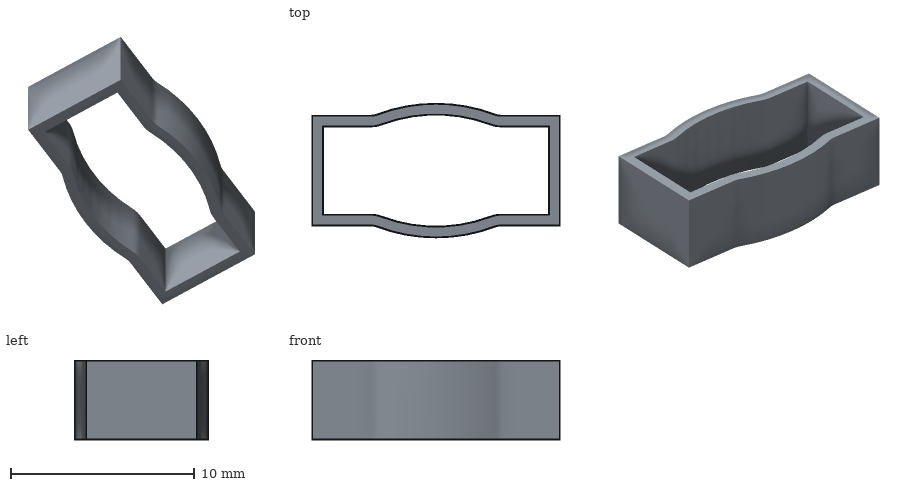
import cadquery as cq
import math

length = 13.5
flat_width = 6.0
height = 4.3
wall = 0.6
bulge_rise = 0.65
bulge_radius = 9.0
blend_radius = 1.0


def ring_outline(inset):
    """Closed outline with two bowed long sides, offset inward by inset."""
    half_length = length / 2 - inset
    half_width = flat_width / 2 - inset
    bulge = bulge_radius - inset
    blend = blend_radius + inset

    centre_distance = bulge + blend
    bend_angle = math.acos(1 - bulge_rise / centre_distance)
    blend_start = centre_distance * math.sin(bend_angle)

    def on_blend(angle):
        x = blend_start - blend * math.sin(angle)
        y = half_width + blend * (1 - math.cos(angle))
        return x, y

    mid_x, mid_y = on_blend(bend_angle / 2)
    join_x, join_y = on_blend(bend_angle)
    apex_y = half_width + bulge_rise

    outline = cq.Workplane("XY").moveTo(half_length, -half_width)
    for side in (1, -1):
        outline = (
            outline.lineTo(side * half_length, side * half_width)
            .lineTo(side * blend_start, side * half_width)
            .threePointArc((side * mid_x, side * mid_y), (side * join_x, side * join_y))
            .threePointArc((0, side * apex_y), (-side * join_x, side * join_y))
            .threePointArc((-side * mid_x, side * mid_y), (-side * blend_start, side * half_width))
            .lineTo(-side * half_length, side * half_width)
        )
    return outline.close()


def prism(inset):
    return ring_outline(inset).extrude(height)


result = prism(0).cut(prism(wall))